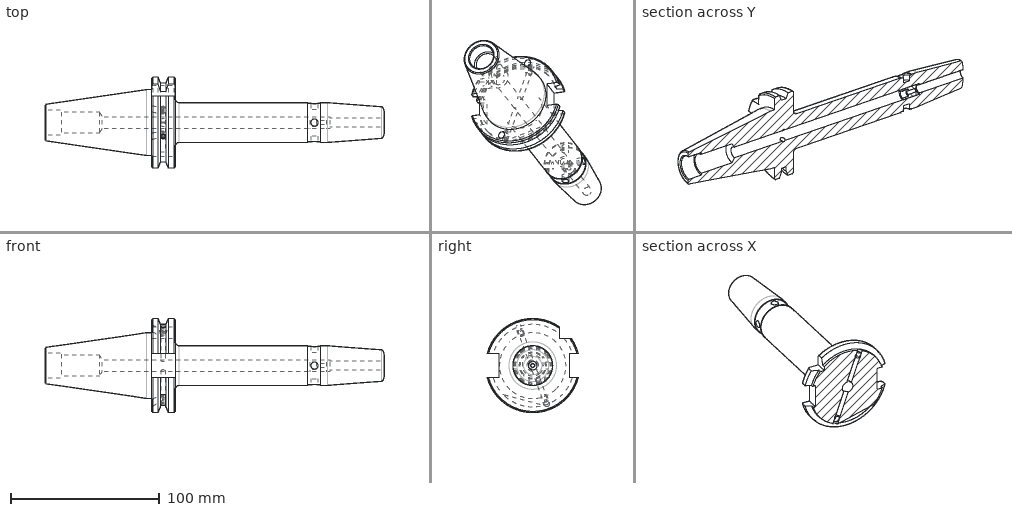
import cadquery as cq
import math

overall_length = 228.5
taper_slope = 7 / 48
gauge_x = 68.3
gauge_diameter = 44.5
gauge_radius = gauge_diameter / 2
shank_end_radius = gauge_radius - taper_slope * gauge_x
shank_chamfer = 0.7

flange_start_x = 71.7
flange_end_x = 87.7
flange_radius = 31.7
flange_chamfer = 1.0
groove_x = 79.5
groove_radius = 27.9
groove_bottom_width = 3.7
groove_top_width = 6.9

key_slot_width = 16.0
front_slot_floor = 22.8
back_slot_floor = 25.0
notch_y = 18.0
notch_z = 18.3
groove_flat_distance = 24.0
groove_flat_width = 3.5
groove_flat_tilt = 15

shaft_radius = 13.5
neck_fillet = 2.5
band_start_x = 176.8
band_end_x = 185.2
band_radius = 13.0
nose_taper_x = 190.0
nose_round_x = 226.3
nose_round_radius = 10.7
nose_face_radius = 6.2

band_hole_x = 181.3
band_hole_diameter = 4.8
band_hole_depth = 4.0
band_hole_count = 4

counterbore_radius = 8.5
mouth_chamfer = 0.7
counterbore_depth = 11.0
thread_radius = 7.0
thread_end_x = 36.5
drill_point_angle = 118
screw_bore_radius = 3.9
screw_bore_end_x = 191.9
tool_bore_radius = 3.0

coolant_tilt = 20
channel_radius = 2.0
channel_entry_radius = 27.0
channel_slope = 30
plug_radius = 1.5
plug_inner = 22.0
plug_recess = 1.8
plug_outer = groove_radius - plug_recess
plug_tilts = [coolant_tilt, coolant_tilt + 180]

screw_length = 11.5
screw_start_x = 178.2
screw_socket_radius = 2.5
screw_socket_depth = 4.5
screw_hole_radius = 1.25


def revolve_about_x(outline):
    """Revolve a closed outline, drawn as (x, radius), about the X axis."""
    return outline.close().revolve(360, (0, 0, 0), (1, 0, 0))


def cylinder(base, direction, radius, length):
    return cq.Workplane(obj=cq.Solid.makeCylinder(radius, length, cq.Vector(*base), cq.Vector(*direction)))


def tilt_about_x(shape, degrees):
    return shape.rotate((0, 0, 0), (1, 0, 0), degrees)


def turned_body():
    half_top = groove_top_width / 2
    half_bottom = groove_bottom_width / 2
    chamfer_radius = flange_radius - flange_chamfer
    nose_round_length = overall_length - nose_round_x
    nose_round_height = nose_round_radius - nose_face_radius
    fillet_offset = neck_fillet * (1 - math.sqrt(0.5))
    outline = (
        cq.Workplane("XY")
        .moveTo(0, 0)
        .lineTo(0, shank_end_radius - shank_chamfer)
        .lineTo(shank_chamfer, shank_end_radius + taper_slope * shank_chamfer)
        .lineTo(gauge_x, gauge_radius)
        .lineTo(flange_start_x, gauge_radius)
        .lineTo(flange_start_x, chamfer_radius)
        .lineTo(flange_start_x + flange_chamfer, flange_radius)
        .lineTo(groove_x - half_top, flange_radius)
        .lineTo(groove_x - half_bottom, groove_radius)
        .lineTo(groove_x + half_bottom, groove_radius)
        .lineTo(groove_x + half_top, flange_radius)
        .lineTo(flange_end_x - flange_chamfer, flange_radius)
        .lineTo(flange_end_x, chamfer_radius)
        .lineTo(flange_end_x, shaft_radius + neck_fillet)
        .threePointArc(
            (flange_end_x + fillet_offset, shaft_radius + fillet_offset),
            (flange_end_x + neck_fillet, shaft_radius),
        )
        .lineTo(band_start_x, shaft_radius)
        .lineTo(band_start_x, band_radius)
        .lineTo(band_end_x, band_radius)
        .lineTo(band_end_x, shaft_radius)
        .lineTo(nose_taper_x, shaft_radius)
        .lineTo(nose_round_x, nose_round_radius)
        .ellipseArc(nose_round_length, nose_round_height, angle1=0, angle2=90, sense=-1)
        .lineTo(overall_length, 0)
    )
    return revolve_about_x(outline)


def axial_bore():
    cone_length = (thread_radius - screw_bore_radius) / math.tan(math.radians(drill_point_angle / 2))
    outline = (
        cq.Workplane("XY")
        .moveTo(0, 0)
        .lineTo(0, counterbore_radius + mouth_chamfer)
        .lineTo(mouth_chamfer, counterbore_radius)
        .lineTo(counterbore_depth, counterbore_radius)
        .lineTo(counterbore_depth, thread_radius)
        .lineTo(thread_end_x, thread_radius)
        .lineTo(thread_end_x + cone_length, screw_bore_radius)
        .lineTo(screw_bore_end_x, screw_bore_radius)
        .lineTo(screw_bore_end_x, tool_bore_radius)
        .lineTo(overall_length, tool_bore_radius)
        .lineTo(overall_length, 0)
    )
    return revolve_about_x(outline)


def flange_block(y_start, y_end, z_start, z_end):
    """Box as wide as the flange, used to cut its rim."""
    return cq.Workplane("XY").box(
        flange_end_x - flange_start_x, y_end - y_start, z_end - z_start, centered=False
    ).translate((flange_start_x, y_start, z_start))


def rim_cuts():
    half_slot = key_slot_width / 2
    front_slot = flange_block(-flange_radius, -front_slot_floor, -half_slot, half_slot)
    back_slot = flange_block(back_slot_floor, flange_radius, -half_slot, half_slot)
    notch = flange_block(notch_y, flange_radius, notch_z, flange_radius)
    return [front_slot, back_slot, notch]


def groove_flat():
    """Flat-bottomed pocket along the groove floor on the underside."""
    depth = groove_radius - groove_flat_distance
    cutter = cq.Workplane("XY").box(groove_flat_width, 2 * groove_radius, depth)
    cutter = cutter.translate((groove_x, 0, -(groove_flat_distance + depth / 2)))
    return tilt_about_x(cutter, -groove_flat_tilt)


def band_holes():
    floor = band_radius - band_hole_depth
    hole = cylinder((band_hole_x, 0, floor), (0, 0, 1), band_hole_diameter / 2, shaft_radius - floor)
    step = 360 / band_hole_count
    return [tilt_about_x(hole, index * step) for index in range(band_hole_count)]


def coolant_channel(tilt):
    """Sloping hole from the flange face down to the plug hole."""
    slope = math.radians(channel_slope)
    direction = (math.cos(slope), 0, -math.sin(slope))
    lead_in = 2 * channel_radius
    start = (
        flange_start_x - lead_in * direction[0],
        0,
        channel_entry_radius - lead_in * direction[2],
    )
    length = lead_in + (groove_x - flange_start_x) / math.cos(slope)
    channel = cylinder(start, direction, channel_radius, length)
    return tilt_about_x(channel, tilt)


def plug_hole(tilt):
    """Radial hole from the groove floor, through the coolant channel, into the axial bore."""
    hole = cylinder((groove_x, 0, 0), (0, 0, 1), plug_radius, flange_radius)
    return tilt_about_x(hole, tilt)


def make_holder():
    holder = turned_body().cut(axial_bore())
    for cutter in [*rim_cuts(), groove_flat(), *band_holes()]:
        holder = holder.cut(cutter)
    for tilt in plug_tilts:
        holder = holder.cut(coolant_channel(tilt)).cut(plug_hole(tilt))
    return holder


def make_plug(tilt):
    plug = cylinder((groove_x, 0, plug_inner), (0, 0, 1), plug_radius, plug_outer - plug_inner)
    return tilt_about_x(plug, tilt)


def make_stop_screw():
    axis = (1, 0, 0)
    start = (screw_start_x, 0, 0)
    blank = cylinder(start, axis, screw_bore_radius, screw_length)
    socket = cylinder(start, axis, screw_socket_radius, screw_socket_depth)
    through_hole = cylinder(start, axis, screw_hole_radius, screw_length)
    return blank.cut(socket).cut(through_hole)


holder = make_holder()
plugs = [make_plug(tilt) for tilt in plug_tilts]
stop_screw = make_stop_screw()

result = cq.Compound.makeCompound([holder.val(), *[plug.val() for plug in plugs], stop_screw.val()])